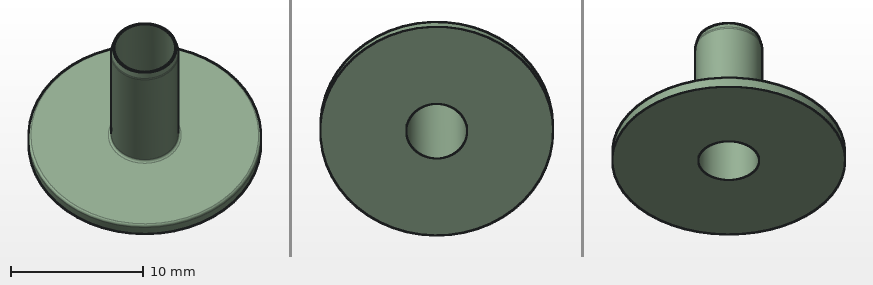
import cadquery as cq
import math

FLANGE_RADIUS = 17.6 / 2
FLANGE_THICKNESS = 1.0
TOTAL_HEIGHT = 11.5
TUBE_RADIUS = 5.1 / 2
BORE_RADIUS = 4.6 / 2

TAPER_LENGTH = 0.6
TAPER_ANGLE = 15.0
TAPER_START = TOTAL_HEIGHT - TAPER_LENGTH
TIP_RADIUS = TUBE_RADIUS - TAPER_LENGTH * math.tan(math.radians(TAPER_ANGLE))

RIM_FILLET = 0.2
ROOT_FILLET = 0.2
TAPER_BLEND_RADIUS = 0.6

FULL_TURN = 360
AXIS_START = (0, 0)
AXIS_END = (0, 1)
MATCH_TOLERANCE = 0.01


def make_flanged_tube():
    """Revolve the sharp-edged half section of the flange, tube and tapered tip."""
    half_section = (
        cq.Workplane("YZ")
        .moveTo(BORE_RADIUS, 0)
        .lineTo(FLANGE_RADIUS, 0)
        .lineTo(FLANGE_RADIUS, FLANGE_THICKNESS)
        .lineTo(TUBE_RADIUS, FLANGE_THICKNESS)
        .lineTo(TUBE_RADIUS, TAPER_START)
        .lineTo(TIP_RADIUS, TOTAL_HEIGHT)
        .lineTo(BORE_RADIUS, TOTAL_HEIGHT)
        .close()
    )
    return half_section.revolve(FULL_TURN, AXIS_START, AXIS_END)


def fillet_circle(body, circle_radius, height, fillet_radius):
    """Round the circular edge that has the given radius and height."""

    def is_wanted(edge):
        same_radius = abs(edge.radius() - circle_radius) < MATCH_TOLERANCE
        same_height = abs(edge.Center().z - height) < MATCH_TOLERANCE
        return same_radius and same_height

    return body.edges("%CIRCLE").filter(is_wanted).fillet(fillet_radius)


part = make_flanged_tube()
part = fillet_circle(part, FLANGE_RADIUS, FLANGE_THICKNESS, RIM_FILLET)
part = fillet_circle(part, TUBE_RADIUS, FLANGE_THICKNESS, ROOT_FILLET)
part = fillet_circle(part, TUBE_RADIUS, TAPER_START, TAPER_BLEND_RADIUS)

result = part